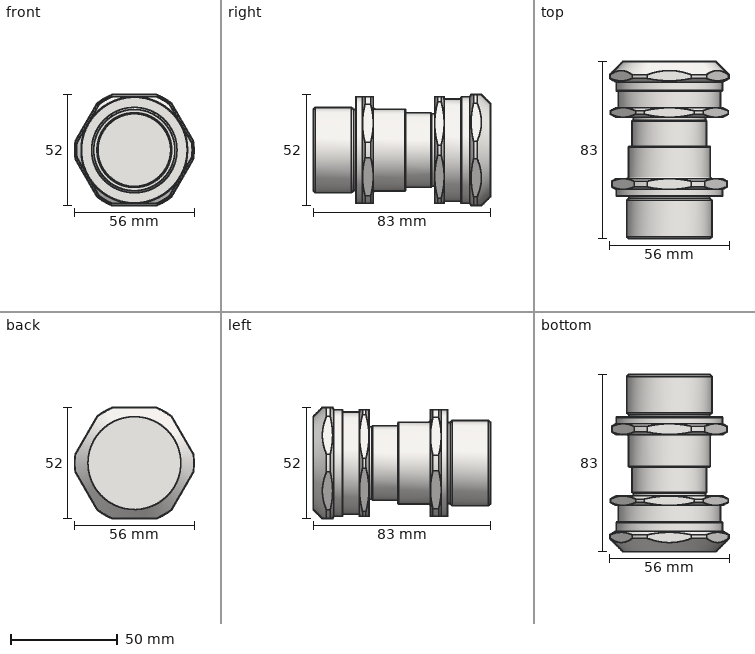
import cadquery as cq
import math

length = 83.0

cap_flats = 52.0
cap_corner_diameter = 55.95
cap_back_diameter = 43.5
cap_corner_start = (cap_corner_diameter - cap_back_diameter) / 2
cap_corner_end = 8.0
cap_front = 9.7
ring_diameter = 50.0
ring_front = 13.95
ring_chamfer = 0.4

sleeve_diameter = 48.0
locknut_back = 21.7
locknut_front = 26.15
locknut_flats = 50.0
locknut_corner_diameter = 55.2
locknut_land = 1.6

neck_diameter = 34.0
barrel_back = 27.5
barrel_diameter = 35.0
shoulder_back = 39.6
shoulder_diameter = 38.4
barrel_chamfer = (barrel_diameter - neck_diameter) / 2
shoulder_chamfer = 0.5
shoulder_fillet = 0.8

undercut_diameter = 38.0
body_hex_back = 54.9
body_hex_front = 59.9
body_hex_flats = 50.0
body_hex_corner_diameter = 54.0
body_hex_land = 2.65
flange_diameter = 50.0
flange_front = 63.1
flange_chamfer = 0.25

spigot_diameter = 40.0
spigot_back = 64.1
spigot_chamfer = (spigot_diameter - undercut_diameter) / 2
recess_diameter = 35.0
recess_floor_diameter = 34.0
recess_depth = (recess_diameter - recess_floor_diameter) / 2

hex_end_diameter = 49.8


def revolve_profile(profile):
    """Turn (station, diameter) pairs into a solid about the Y axis."""
    points = [(diameter / 2, length / 2 - station) for station, diameter in profile]
    on_axis_start = (0, points[0][1])
    on_axis_end = (0, points[-1][1])
    outline = cq.Workplane("XY").polyline([on_axis_start, *points, on_axis_end]).close()
    return outline.revolve(360, (0, 0, 0), (0, 1, 0))


def hex_collar(flats, profile):
    """Turned profile trimmed by a hexagon whose corners point along X."""
    back = profile[0][0]
    front = profile[-1][0]
    corner_to_corner = flats / math.cos(math.pi / 6)
    prism = (
        cq.Workplane("XZ", origin=(0, length / 2 - back, 0))
        .polygon(6, corner_to_corner)
        .extrude(front - back)
    )
    return prism.intersect(revolve_profile(profile))


def chamfered_nut(back, front, flats, corner_diameter, land):
    """Hexagon with matching corner chamfers at both ends."""
    chamfer_length = (front - back - land) / 2
    profile = [
        (back, hex_end_diameter),
        (back + chamfer_length, corner_diameter),
        (front - chamfer_length, corner_diameter),
        (front, hex_end_diameter),
    ]
    return hex_collar(flats, profile)


cap = hex_collar(cap_flats, [
    (0, cap_back_diameter),
    (cap_corner_start, cap_corner_diameter),
    (cap_corner_end, cap_corner_diameter),
    (cap_front, hex_end_diameter),
])
locknut = chamfered_nut(locknut_back, locknut_front, locknut_flats, locknut_corner_diameter, locknut_land)
body_hex = chamfered_nut(
    body_hex_back, body_hex_front, body_hex_flats, body_hex_corner_diameter, body_hex_land
)

core = revolve_profile([
    (cap_corner_end, sleeve_diameter),
    (cap_front, sleeve_diameter),
    (cap_front, ring_diameter),
    (ring_front - ring_chamfer, ring_diameter),
    (ring_front, ring_diameter - 2 * ring_chamfer),
    (ring_front, sleeve_diameter),
    (locknut_back, sleeve_diameter),
    (locknut_back, neck_diameter),
    (barrel_back, neck_diameter),
    (barrel_back + barrel_chamfer, barrel_diameter),
    (shoulder_back, barrel_diameter),
    (shoulder_back, shoulder_diameter - 2 * shoulder_chamfer),
    (shoulder_back + shoulder_chamfer, shoulder_diameter),
    (body_hex_front, shoulder_diameter),
    (body_hex_front, flange_diameter),
    (flange_front - flange_chamfer, flange_diameter),
    (flange_front, flange_diameter - 2 * flange_chamfer),
    (flange_front, undercut_diameter),
    (spigot_back, undercut_diameter),
    (spigot_back + spigot_chamfer, spigot_diameter),
    (length - spigot_chamfer, spigot_diameter),
    (length, undercut_diameter),
])

shoulder_radius = shoulder_diameter / 2
hex_back_y = length / 2 - body_hex_back
arc_gap = shoulder_fillet * (1 - math.sqrt(0.5))
root_fillet = (
    cq.Workplane("XY")
    .moveTo(0, hex_back_y)
    .lineTo(shoulder_radius + shoulder_fillet, hex_back_y)
    .threePointArc(
        (shoulder_radius + arc_gap, hex_back_y + arc_gap),
        (shoulder_radius, hex_back_y + shoulder_fillet),
    )
    .lineTo(0, hex_back_y + shoulder_fillet)
    .close()
    .revolve(360, (0, 0, 0), (0, 1, 0))
)

recess = revolve_profile([
    (length - recess_depth, recess_floor_diameter),
    (length, recess_diameter),
])

result = core.union(cap).union(locknut).union(body_hex).union(root_fillet).cut(recess)